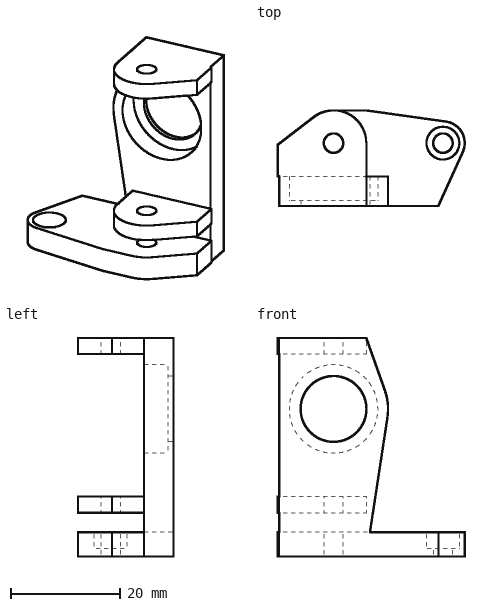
import cadquery as cq
import math

height = 40.0
overall_width = 34.2
plate_depth = 5.45
plate_left = 0.25
plate_corner_radius = 10.0
bore_z = 27.0
opening_diameter = 12.0
bearing_diameter = 16.2
lip_depth = 1.0

pivot_x = 10.2
pivot_y = 11.5
lug_radius = 6.0
pin_diameter = 3.5
wing_y = 11.25
lug_thickness = 3.0
middle_lug_z = 8.0

base_thickness = 4.5
arm_radius = 4.0
arm_x = overall_width - arm_radius
base_front_right = 29.35
arm_pocket_diameter = 6.0
arm_pocket_depth = 3.0

lug_right = pivot_x + lug_radius
lug_back = pivot_y + lug_radius


def tangent_point(start, center, radius, side):
    """Point where a line from start touches a circle; side = +1 or -1 picks the tangent."""
    dx = start[0] - center[0]
    dy = start[1] - center[1]
    angle = math.atan2(dy, dx) + side * math.acos(radius / math.hypot(dx, dy))
    return (center[0] + radius * math.cos(angle), center[1] + radius * math.sin(angle))


def vertical_cylinder(x, y, diameter, bottom, length):
    return cq.Workplane("XY", origin=(x, y, bottom)).circle(diameter / 2).extrude(length)


def bore(diameter, start_y, end_y):
    """Cylinder along +Y on the bore axis."""
    plane = cq.Workplane("XZ", origin=(pivot_x, start_y, bore_z))
    return plane.circle(diameter / 2).extrude(start_y - end_y)


def make_plate():
    center = (pivot_x, bore_z)
    lower = tangent_point((lug_right, 0), center, plate_corner_radius, 1)
    upper = tangent_point((lug_right, height), center, plate_corner_radius, -1)
    return (
        cq.Workplane("XZ")
        .moveTo(plate_left, 0)
        .lineTo(lug_right, 0)
        .lineTo(*lower)
        .threePointArc((pivot_x + plate_corner_radius, bore_z), upper)
        .lineTo(lug_right, height)
        .lineTo(plate_left, height)
        .close()
        .extrude(-plate_depth)
    )


def start_left_outline(bottom):
    """Left side common to lugs and base, ending at the back of the pivot round."""
    wing_end = tangent_point((0, wing_y), (pivot_x, pivot_y), lug_radius, -1)
    middle_angle = (math.atan2(wing_end[1] - pivot_y, wing_end[0] - pivot_x) + math.pi / 2) / 2
    arc_middle = (
        pivot_x + lug_radius * math.cos(middle_angle),
        pivot_y + lug_radius * math.sin(middle_angle),
    )
    return (
        cq.Workplane("XY", origin=(0, 0, bottom))
        .moveTo(plate_left, 0)
        .lineTo(plate_left, plate_depth)
        .lineTo(0, plate_depth)
        .lineTo(0, wing_y)
        .lineTo(*wing_end)
        .threePointArc(arc_middle, (pivot_x, lug_back))
    )


def make_lug(bottom):
    return (
        start_left_outline(bottom)
        .threePointArc(
            (pivot_x + lug_radius * math.sqrt(0.5), pivot_y + lug_radius * math.sqrt(0.5)),
            (lug_right, pivot_y),
        )
        .lineTo(lug_right, 0)
        .close()
        .extrude(lug_thickness)
    )


def make_base():
    center = (arm_x, pivot_y)
    arm_start = tangent_point((lug_right, lug_back), center, arm_radius, -1)
    arm_end = tangent_point((base_front_right, 0), center, arm_radius, 1)
    return (
        start_left_outline(0)
        .lineTo(lug_right, lug_back)
        .lineTo(*arm_start)
        .threePointArc((arm_x + arm_radius, pivot_y), arm_end)
        .lineTo(base_front_right, 0)
        .close()
        .extrude(base_thickness)
    )


body = make_plate().union(make_base())
for lug_bottom in (middle_lug_z, height - lug_thickness):
    body = body.union(make_lug(lug_bottom))

body = body.cut(bore(opening_diameter, 0, plate_depth))
body = body.cut(bore(bearing_diameter, lip_depth, plate_depth))

for hole_x in (pivot_x, arm_x):
    body = body.cut(vertical_cylinder(hole_x, pivot_y, pin_diameter, 0, height))
pocket_floor = base_thickness - arm_pocket_depth
body = body.cut(vertical_cylinder(arm_x, pivot_y, arm_pocket_diameter, pocket_floor, arm_pocket_depth))

result = body